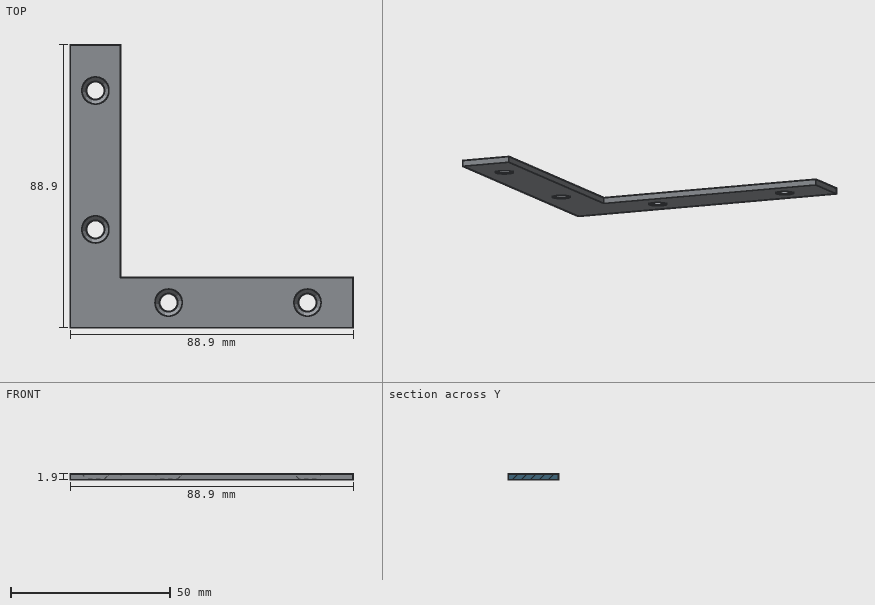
import cadquery as cq

arm_length = 88.9
arm_width = 15.9
thickness = 1.9

hole_diameter = 5.6
countersink_diameter = 8.5
countersink_angle = 90.0
inner_hole_distance = 30.9
hole_spacing = 43.65

arm_centre = arm_width / 2
hole_distances = [inner_hole_distance, inner_hole_distance + hole_spacing]
hole_centres = [(distance, arm_centre) for distance in hole_distances]
hole_centres += [(arm_centre, distance) for distance in hole_distances]

bracket = (
    cq.Workplane("XY")
    .polyline([
        (0, 0),
        (arm_length, 0),
        (arm_length, arm_width),
        (arm_width, arm_width),
        (arm_width, arm_length),
        (0, arm_length),
    ])
    .close()
    .extrude(thickness)
)

result = (
    bracket.faces(">Z")
    .workplane(origin=(0, 0, thickness))
    .pushPoints(hole_centres)
    .cskHole(hole_diameter, countersink_diameter, countersink_angle)
)